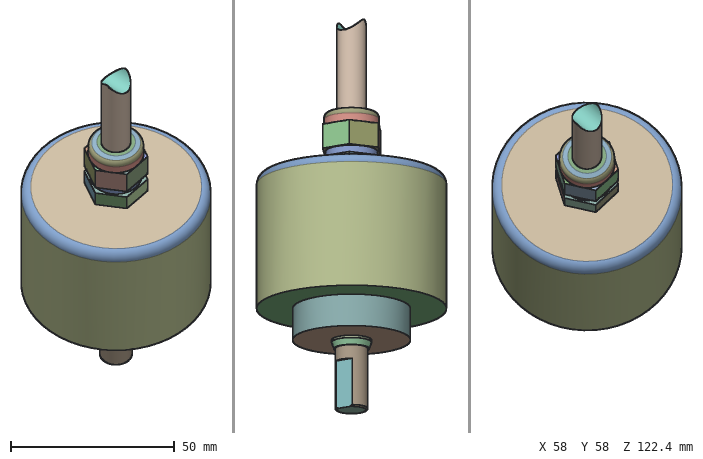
import cadquery as cq
import math

total_height = 122.4
key_angle = 23.0
hex_angle = -7.0

shaft_radius = 5.0
shaft_length = 22.0
shaft_chamfer = 0.5
flat_distance = 4.0
flat_length = 15.0
collar_radius = 6.1
collar_tip_radius = 5.4
collar_rim = 0.7
collar_height = 2.7
boss_radius = 18.0
boss_height = 9.9
body_radius = 29.0
body_height = 42.0
body_fillet = 2.9

hex_across_flats = 17.0
lower_hex_height = 5.0
neck_radius = 8.0
neck_height = 2.5
upper_hex_height = 7.6
cap_radius = 8.6
cap_height = 4.8
cap_shoulder_radius = 8.5
cap_shoulder_drop = 2.2
cap_slope_radius = 7.5
cap_slope_drop = 0.4
cap_top_radius = 5.9
cap_shoulder_bulge = 0.2
cable_radius = 4.5
notch_radius = 4.7

boss_bottom = shaft_length
body_bottom = boss_bottom + boss_height
body_top = body_bottom + body_height
neck_bottom = body_top + lower_hex_height
upper_hex_bottom = neck_bottom + neck_height
cap_bottom = upper_hex_bottom + upper_hex_height
cap_top = cap_bottom + cap_height


def cylinder(radius, bottom, height):
    return cq.Workplane("XY").workplane(offset=bottom).circle(radius).extrude(height)


def hexagon(bottom, height):
    corner_diameter = hex_across_flats / math.cos(math.radians(30))
    prism = cq.Workplane("XY").workplane(offset=bottom).polygon(6, corner_diameter).extrude(height)
    return prism.rotate((0, 0, 0), (0, 0, 1), hex_angle)


def make_shaft():
    shaft = cylinder(shaft_radius, 0, shaft_length).faces("<Z").chamfer(shaft_chamfer)
    flat_cut = (
        cq.Workplane("XY")
        .box(shaft_radius, 2 * shaft_radius, flat_length, centered=(False, True, False))
        .translate((-flat_distance - shaft_radius, 0, 0))
        .rotate((0, 0, 0), (0, 0, 1), key_angle)
    )
    return shaft.cut(flat_cut)


def make_collar():
    """Collar with a short straight rim that tapers down toward the shaft."""
    collar_bottom = boss_bottom - collar_height
    outline = [
        (0, collar_bottom),
        (collar_tip_radius, collar_bottom),
        (collar_radius, boss_bottom - collar_rim),
        (collar_radius, boss_bottom),
        (0, boss_bottom),
    ]
    return cq.Workplane("XZ").polyline(outline).close().revolve(360, (0, 0, 0), (0, 1, 0))


def make_housing():
    boss = cylinder(boss_radius, boss_bottom, boss_height)
    body = cylinder(body_radius, body_bottom, body_height).faces(">Z").edges().fillet(body_fillet)
    return boss.union(body)


def make_cap():
    """Slightly tapered cap with a rounded shoulder and a sloped rim around a flat top."""
    shoulder_start = (cap_shoulder_radius, cap_top - cap_shoulder_drop)
    shoulder_end = (cap_slope_radius, cap_top - cap_slope_drop)
    shoulder_middle = (
        (cap_shoulder_radius + cap_slope_radius) / 2 + cap_shoulder_bulge,
        cap_top - (cap_shoulder_drop + cap_slope_drop) / 2 + cap_shoulder_bulge,
    )
    return (
        cq.Workplane("XZ")
        .moveTo(0, cap_bottom)
        .lineTo(cap_radius, cap_bottom)
        .lineTo(*shoulder_start)
        .threePointArc(shoulder_middle, shoulder_end)
        .lineTo(cap_top_radius, cap_top)
        .lineTo(0, cap_top)
        .close()
        .revolve(360, (0, 0, 0), (0, 1, 0))
    )


def make_gland():
    gland = hexagon(body_top, lower_hex_height)
    gland = gland.union(cylinder(neck_radius, neck_bottom, neck_height))
    gland = gland.union(hexagon(upper_hex_bottom, upper_hex_height))
    return gland.union(make_cap())


def make_cable():
    """Cable whose tip is hollowed by a horizontal round notch, leaving two peaks at full height."""
    cable = cylinder(cable_radius, cap_bottom, total_height - cap_bottom)
    notch_center = total_height + math.sqrt(notch_radius**2 - cable_radius**2)
    notch = (
        cq.Workplane("YZ")
        .center(0, notch_center)
        .circle(notch_radius)
        .extrude(2 * cable_radius, both=True)
        .rotate((0, 0, 0), (0, 0, 1), key_angle)
    )
    return cable.cut(notch)


result = make_housing()
for piece in (make_shaft(), make_collar(), make_gland(), make_cable()):
    result = result.union(piece)